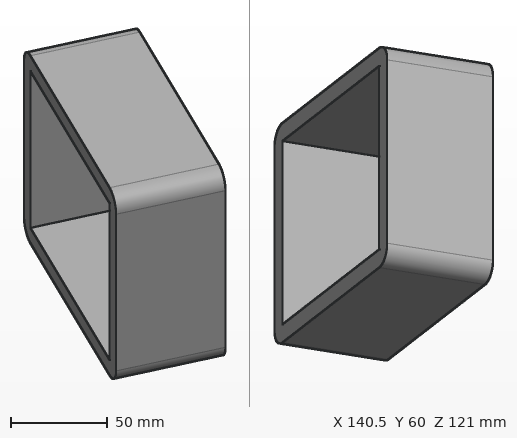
import cadquery as cq

opening_width = 120.5
opening_height = 101.0
wall = 10.0
depth = 60.0
corner_radius = wall

outer_width = opening_width + 2 * wall
outer_height = opening_height + 2 * wall


def make_outer_block():
    """Solid block with its four Y-direction edges rounded."""
    block = cq.Workplane("XY").box(outer_width, depth, outer_height)
    return block.edges("|Y").fillet(corner_radius)


def make_opening():
    """Sharp-cornered rectangular prism running through the full depth."""
    return cq.Workplane("XY").box(opening_width, depth, opening_height)


result = make_outer_block().cut(make_opening())